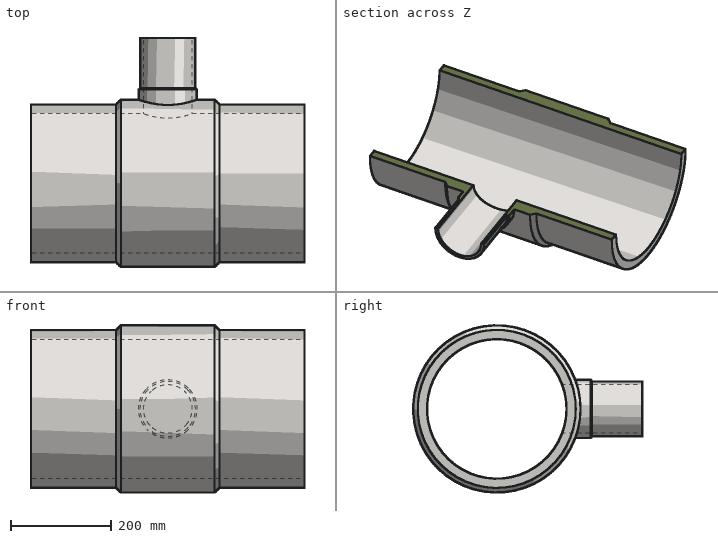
import cadquery as cq

pipe_length = 546.0
pipe_diameter = 315.0
bore_diameter = 277.6

sleeve_length = 206.0
sleeve_diameter = 333.7
sleeve_chamfer = (sleeve_diameter - pipe_diameter) / 2

branch_reach = 290.0
branch_diameter = 110.0
branch_bore_diameter = 96.8
collar_reach = 190.0
collar_diameter = 116.6
collar_chamfer = (collar_diameter - branch_diameter) / 2


def cylinder_along_x(diameter, length):
    """Cylinder on the X axis, centred on the origin."""
    return cq.Workplane("YZ").circle(diameter / 2).extrude(length / 2, both=True)


def cylinder_along_y(diameter, reach):
    """Cylinder from the pipe axis out to the given distance along +Y."""
    return cq.Workplane("XZ").circle(diameter / 2).extrude(-reach)


def make_main_body():
    """Solid pipe with its sleeve, both sleeve ends chamfered down to the pipe surface."""
    pipe = cylinder_along_x(pipe_diameter, pipe_length)
    sleeve = cylinder_along_x(sleeve_diameter, sleeve_length)
    return pipe.union(sleeve.edges("%CIRCLE").chamfer(sleeve_chamfer))


def make_branch():
    """Solid branch pipe with its collar, chamfered down to the branch surface."""
    branch = cylinder_along_y(branch_diameter, branch_reach)
    collar = cylinder_along_y(collar_diameter, collar_reach)
    return branch.union(collar.faces(">Y").chamfer(collar_chamfer))


main_bore = cylinder_along_x(bore_diameter, pipe_length)
branch_bore = cylinder_along_y(branch_bore_diameter, branch_reach)

result = make_main_body().union(make_branch()).cut(main_bore).cut(branch_bore)